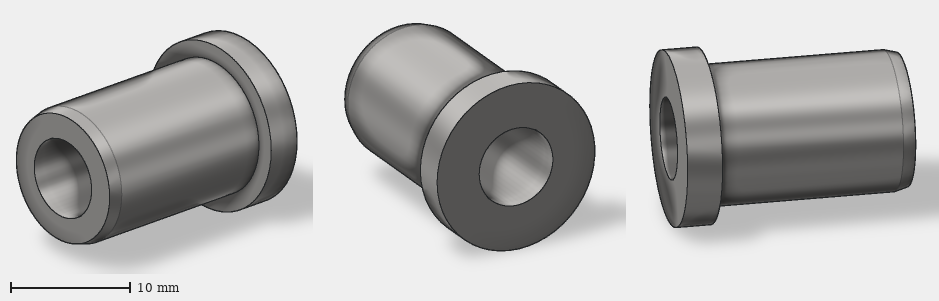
import cadquery as cq
import math

total_length = 20.0
head_diameter = 15.0
head_thickness = 3.0
body_diameter = 12.0
bore_diameter = 7.0

taper_drop = 0.3
taper_angle = 15.0
taper_length = taper_drop / math.tan(math.radians(taper_angle))

head_radius = head_diameter / 2
body_radius = body_diameter / 2
bore_radius = bore_diameter / 2
head_start = total_length - head_thickness

half_section = [
    (bore_radius, 0),
    (body_radius - taper_drop, 0),
    (body_radius, taper_length),
    (body_radius, head_start),
    (head_radius, head_start),
    (head_radius, total_length),
    (bore_radius, total_length),
]

result = cq.Workplane("XY").polyline(half_section).close().revolve(360, (0, 0, 0), (0, 1, 0))